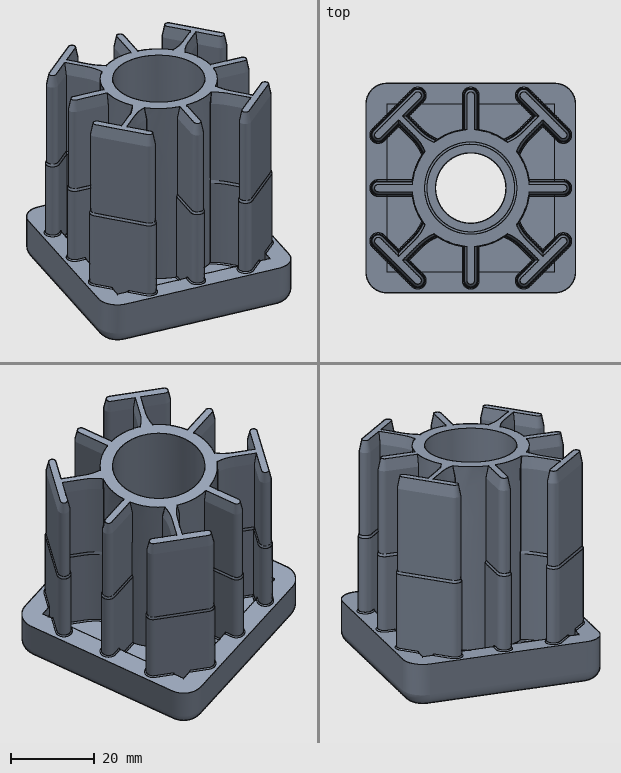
import cadquery as cq

base_side = 50.0
base_height = 11.0
base_corner_radius = 5.0
base_bottom_fillet = 3.0

pocket_side = base_side - 2 * base_corner_radius
pocket_depth = 3.0
pocket_floor_z = base_height - pocket_depth

total_height = 55.0
boss_top_radius = 13.95
boss_bottom_radius = 14.1
bore_radius = 11.0
bore_floor_z = pocket_floor_z
seat_radius = 10.45
seat_depth = 0.55
through_radius = 8.35

step_low_z = 30.2
step_high_z = 30.85
tip_height = 3.0
tip_start_z = total_height - tip_height
upper_inset = 0.2
tip_inset = 0.8
foot_size = 0.3

rib_half_width = 1.7
rib_end_center = 22.05
rib_root = 12.4
plate_distance = 24.55
plate_half_length = 6.65
web_half_width = 1.5
web_root_half_width = 2.3
flare_start = 18.2

RIB_PROFILE = [
    (pocket_floor_z, 0),
    (step_low_z, 0),
    (step_high_z, upper_inset),
    (tip_start_z, upper_inset),
    (total_height, tip_inset),
]


def foot_profile(z):
    """Chamfered foot that widens the rib section where it meets a floor at height z."""
    return [(z, -foot_size), (z + foot_size, 0)]


def straight_rib_section(z, inset):
    """Straight rib along +X with a round outer end."""
    half = rib_half_width - inset
    return (
        cq.Workplane("XY", origin=(0, 0, z))
        .moveTo(rib_root, -half)
        .lineTo(rib_end_center, -half)
        .threePointArc((rib_end_center + half, 0), (rib_end_center, half))
        .lineTo(rib_root, half)
        .close()
    )


def tee_rib_section(z, inset):
    """T-shaped rib along +X: a web that flares toward the boss and a crossing plate with round ends."""
    half = rib_half_width - inset
    web = web_half_width - inset
    root = web_root_half_width - inset
    inner = plate_distance - half
    outer = plate_distance + half
    end = plate_half_length
    return (
        cq.Workplane("XY", origin=(0, 0, z))
        .moveTo(outer, 0)
        .lineTo(outer, end)
        .threePointArc((plate_distance, end + half), (inner, end))
        .lineTo(inner, web)
        .lineTo(flare_start, web)
        .tangentArcPoint((boss_top_radius, root), relative=False)
        .lineTo(rib_root, root)
        .lineTo(rib_root, 0)
        .mirrorX()
    )


def loft_profile(section, profile):
    """Stack a section through the (height, inset) levels of a profile with straight walls."""
    wires = [section(z, inset).wires().val() for z, inset in profile]
    return cq.Workplane(cq.Solid.makeLoft(wires, True))


def make_pocket():
    return (
        cq.Workplane("XY", origin=(0, 0, pocket_floor_z))
        .rect(pocket_side, pocket_side)
        .extrude(total_height)
    )


def make_base():
    plate = (
        cq.Workplane("XY")
        .rect(base_side, base_side)
        .extrude(base_height)
        .edges("|Z")
        .fillet(base_corner_radius)
        .faces("<Z")
        .edges()
        .fillet(base_bottom_fillet)
    )
    return plate.cut(make_pocket())


def make_boss():
    return (
        cq.Workplane("XZ")
        .moveTo(0, pocket_floor_z)
        .lineTo(boss_bottom_radius, pocket_floor_z)
        .lineTo(boss_top_radius, total_height)
        .lineTo(0, total_height)
        .close()
        .revolve(360, (0, 0), (0, 1))
    )


def vertical_hole(radius, floor_z):
    """Cylinder on the part axis, from floor_z up to the top of the part."""
    return cq.Workplane("XY", origin=(0, 0, floor_z)).circle(radius).extrude(total_height - floor_z)


def make_bore():
    bore = vertical_hole(bore_radius, bore_floor_z)
    seat = vertical_hole(seat_radius, bore_floor_z - seat_depth)
    return bore.union(seat).union(vertical_hole(through_radius, 0))


def make_rib(section, angle):
    """Rib turned by angle, with a foot on the pocket floor and another on the rim of the base."""
    body, floor_foot, rim_foot = [
        loft_profile(section, profile).rotate((0, 0, 0), (0, 0, 1), angle)
        for profile in (RIB_PROFILE, foot_profile(pocket_floor_z), foot_profile(base_height))
    ]
    pocket = make_pocket()
    return body.union(floor_foot.intersect(pocket)).union(rim_foot.cut(pocket))


result = make_base().union(make_boss())
for quarter in range(4):
    angle = 90 * quarter
    result = result.union(make_rib(straight_rib_section, angle))
    result = result.union(make_rib(tee_rib_section, angle + 45))
result = result.cut(make_bore())